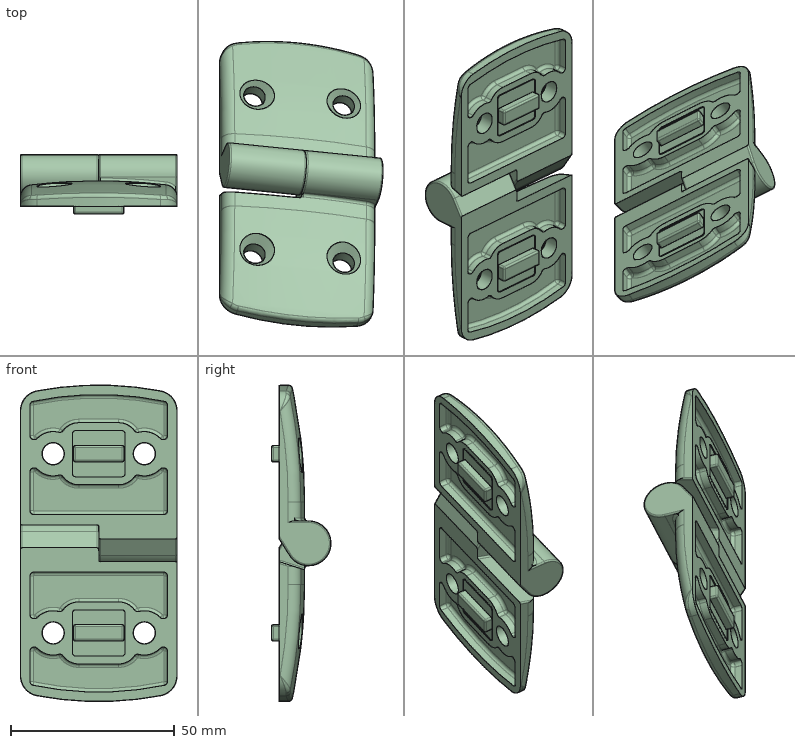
import cadquery as cq
import math

LENGTH = 97.0
WIDTH = 48.0
HALF_LENGTH = LENGTH / 2
HALF_WIDTH = WIDTH / 2
OVERSIZE = 97.0

KNUCKLE_RADIUS = 6.9
KNUCKLE_Y = 9.0
KNUCKLE_HEEL_Z = 1.4
KNUCKLE_EDGE_ROUND = 0.5
KNUCKLE_ROOT_ROUND = 0.9
ROOT_FADE_Y = 4.1

CREST_Y = 7.9
DOME_RADIUS_ACROSS = 174.6
DOME_RADIUS_ALONG = 164.9
DOME_SWEEP_ANGLE = 16.0
DOME_FLAT_END_Z = 12.6
SIDE_ROUND = 3.9
END_ARC_RADIUS = 100.9
CORNER_RADIUS = 6.3
END_ROUND = 1.4
PLATE_START_Z = 4.85
RELIEF_Z = 5.6
RELIEF_CREST_Z = 8.1
RELIEF_EDGE_ROUND = 0.5

FASTENER_Z = 27.45
HOLE_SPACING = 27.9
HOLE_DIAMETER = 6.7
SINK_DIAMETER = 11.6
SINK_TOP_Y = 7.1
SINK_DEPTH = (SINK_DIAMETER - HOLE_DIAMETER) / 2

POCKET_DEPTH = 3.4
POCKET_HALF_WIDTH = 21.05
POCKET_BOTTOM_Z = 8.8
END_RIM = 2.9
POCKET_CORNER_RADIUS = 1.2
POCKET_FLOOR_ROUND = 1.1
ISLAND_HALF_HEIGHT = 9.5
ISLAND_HALF_WIDTH = 12.1
ISLAND_CORNER_RADIUS = 6.0
HOLE_BOSS_RADIUS = 6.8
ISLAND_TIP_HALF_HEIGHT = 4.4

INSERT_WIDTH = 16.1
INSERT_HEIGHT = 14.2
INSERT_CORNER_RADIUS = 1.0
INSERT_SETBACK = 0.3
INSERT_SEAT_Y = POCKET_DEPTH
RIB_WIDTH = 15.4
RIB_HEIGHT = 5.0
RIB_PROJECTION = 2.3
RIB_EDGE_ROUND = 0.6

EDGE_MARGIN = 0.1


def back_plane(y=0.0):
    """Workplane parallel to the mounting face; extruding by a negative length goes toward +Y."""
    return cq.Workplane("XZ", origin=(0, y, 0))


def end_arc_z(x, radius, top):
    """Height of an arc crowned at (0, top)."""
    return top - radius + math.sqrt(radius**2 - x**2)


def crowned_prism(half_width, bottom, top, radius, depth):
    """Prism from the mounting face toward +Y whose upper end is an arc."""
    shoulder = end_arc_z(half_width, radius, top)
    return (
        back_plane()
        .moveTo(-half_width, bottom)
        .lineTo(-half_width, shoulder)
        .threePointArc((0, top), (half_width, shoulder))
        .lineTo(half_width, bottom)
        .close()
        .extrude(-depth)
    )


def dome_section(z):
    """Cross-section of the plate: domed top blended into straight sides by round shoulders."""
    dome_center_y = CREST_Y - DOME_RADIUS_ACROSS
    shoulder_x = HALF_WIDTH - SIDE_ROUND
    reach = DOME_RADIUS_ACROSS - SIDE_ROUND
    shoulder_y = dome_center_y + math.sqrt(reach**2 - shoulder_x**2)
    slope = math.asin(shoulder_x / reach)
    tangent_x = DOME_RADIUS_ACROSS * math.sin(slope)
    tangent_y = dome_center_y + DOME_RADIUS_ACROSS * math.cos(slope)
    middle = (slope + math.pi / 2) / 2
    middle_x = shoulder_x + SIDE_ROUND * math.sin(middle)
    middle_y = shoulder_y + SIDE_ROUND * math.cos(middle)
    base_y = -CREST_Y
    return (
        cq.Workplane("XY", origin=(0, 0, z))
        .moveTo(-HALF_WIDTH, base_y)
        .lineTo(-HALF_WIDTH, shoulder_y)
        .threePointArc((-middle_x, middle_y), (-tangent_x, tangent_y))
        .threePointArc((0, CREST_Y), (tangent_x, tangent_y))
        .threePointArc((middle_x, middle_y), (HALF_WIDTH, shoulder_y))
        .lineTo(HALF_WIDTH, base_y)
        .close()
    )


def make_straight():
    """Inner stretch of the plate, where its cross-section stays the same."""
    return dome_section(PLATE_START_Z).extrude(DOME_FLAT_END_Z - PLATE_START_Z)


def make_root():
    """Round root between the flat top of the knuckle and the domed face, fading out on the shoulders."""
    root_top_y = CREST_Y + KNUCKLE_ROOT_ROUND
    block = (
        cq.Workplane("XY", origin=(0, 0, PLATE_START_Z))
        .rect(2 * WIDTH, 2 * root_top_y)
        .extrude(KNUCKLE_RADIUS - PLATE_START_Z)
    )
    root_edge = cq.selectors.BoxSelector(
        (-WIDTH, 0, KNUCKLE_RADIUS - EDGE_MARGIN), (WIDTH, CREST_Y, KNUCKLE_RADIUS + EDGE_MARGIN)
    )
    root = block.union(make_straight()).edges(root_edge).fillet(KNUCKLE_ROOT_ROUND)
    keep = (
        cq.Workplane("XY", origin=(KNUCKLE_EDGE_ROUND, ROOT_FADE_Y, 0))
        .box(HALF_WIDTH - 2 * KNUCKLE_EDGE_ROUND, root_top_y, DOME_FLAT_END_Z, centered=False)
    )
    return root.intersect(keep)


def make_plate():
    """Domed plate with a crowned, rounded outer end."""
    axis_y = CREST_Y - DOME_RADIUS_ALONG
    curved = dome_section(DOME_FLAT_END_Z).revolve(DOME_SWEEP_ANGLE, (0, axis_y), (1, axis_y))
    outline = crowned_prism(HALF_WIDTH, PLATE_START_Z, HALF_LENGTH, END_ARC_RADIUS, 2 * CREST_Y)
    outline = outline.edges("|Y").edges(">Z").fillet(CORNER_RADIUS)
    plate = make_straight().union(curved).intersect(outline)
    end_edge = cq.selectors.BoxSelector(
        (-CORNER_RADIUS, END_ROUND, HALF_LENGTH - END_ROUND),
        (CORNER_RADIUS, CREST_Y, HALF_LENGTH + END_ROUND),
    )
    return plate.edges(end_edge).fillet(END_ROUND)


def make_relief():
    """Cutter on the -X half that clears the mating knuckle.

    Its section, drawn in X and downward from the sloping relief face, rounds the inner corner
    beside the leaf's own knuckle and the outer edge at the side of the plate.
    """
    slope = cq.Vector(0, CREST_Y, RELIEF_CREST_Z - RELIEF_Z)
    face = cq.Plane(origin=(0, 0, RELIEF_Z), xDir=(1, 0, 0), normal=slope)
    radius = RELIEF_EDGE_ROUND
    bulge = radius * (1 - math.sqrt(0.5))
    return (
        cq.Workplane(face)
        .moveTo(0, HALF_LENGTH)
        .lineTo(0, radius)
        .threePointArc((-bulge, bulge), (-radius, 0))
        .lineTo(radius - HALF_WIDTH, 0)
        .threePointArc((bulge - HALF_WIDTH, -bulge), (-HALF_WIDTH, -radius))
        .lineTo(-WIDTH, -radius)
        .lineTo(-WIDTH, HALF_LENGTH)
        .close()
        .extrude(3 * CREST_Y, both=True)
    )


def make_knuckle():
    """Round barrel on the +X half, tangent to a sloping flank below and to a flat top."""
    heel_distance = math.hypot(KNUCKLE_Y, KNUCKLE_HEEL_Z)
    flank_angle = math.asin(KNUCKLE_RADIUS / heel_distance) + math.atan2(KNUCKLE_HEEL_Z, KNUCKLE_Y)
    tangent_y = KNUCKLE_Y - KNUCKLE_RADIUS * math.sin(flank_angle)
    tangent_z = -KNUCKLE_RADIUS * math.cos(flank_angle)
    return (
        cq.Workplane("YZ")
        .moveTo(0, KNUCKLE_HEEL_Z)
        .lineTo(tangent_y, tangent_z)
        .threePointArc((KNUCKLE_Y + KNUCKLE_RADIUS, 0), (KNUCKLE_Y, KNUCKLE_RADIUS))
        .lineTo(0, KNUCKLE_RADIUS)
        .close()
        .extrude(HALF_WIDTH)
        .faces("<X or >X")
        .edges("not |Z")
        .fillet(KNUCKLE_EDGE_ROUND)
    )


def make_island():
    """Raised pad between the pockets: a rounded block, a boss about each screw hole, and side tips."""
    pad = (
        back_plane()
        .center(0, FASTENER_Z)
        .rect(2 * ISLAND_HALF_WIDTH, 2 * ISLAND_HALF_HEIGHT)
        .extrude(-POCKET_DEPTH)
        .edges("|Y")
        .fillet(ISLAND_CORNER_RADIUS)
    )
    bosses = (
        back_plane()
        .center(0, FASTENER_Z)
        .rarray(HOLE_SPACING, 1, 2, 1)
        .circle(HOLE_BOSS_RADIUS)
        .extrude(-POCKET_DEPTH)
    )
    tips = (
        back_plane()
        .center(0, FASTENER_Z)
        .rect(WIDTH, 2 * ISLAND_TIP_HALF_HEIGHT)
        .extrude(-POCKET_DEPTH)
    )
    return pad.union(bosses).union(tips)


def make_pockets():
    """The two pockets above and below the island, with round corners and round floor edges."""
    field = crowned_prism(
        POCKET_HALF_WIDTH, POCKET_BOTTOM_Z, HALF_LENGTH - END_RIM, END_ARC_RADIUS - END_RIM, POCKET_DEPTH
    )
    pockets = field.cut(make_island())
    return pockets.edges("|Y").fillet(POCKET_CORNER_RADIUS).faces(">Y").edges().fillet(POCKET_FLOOR_ROUND)


def make_screw_holes():
    """Through holes, countersunk from the domed side."""
    holes = (
        back_plane()
        .center(0, FASTENER_Z)
        .rarray(HOLE_SPACING, 1, 2, 1)
        .circle(HOLE_DIAMETER / 2)
        .extrude(-OVERSIZE)
    )
    outward = cq.Vector(0, 1, 0)
    sink_cone = cq.Solid.makeCone(
        HOLE_DIAMETER / 2,
        SINK_DIAMETER / 2,
        SINK_DEPTH,
        pnt=cq.Vector(0, SINK_TOP_Y - SINK_DEPTH, FASTENER_Z),
        dir=outward,
    )
    sink_mouth = cq.Solid.makeCylinder(
        SINK_DIAMETER / 2, CREST_Y, pnt=cq.Vector(0, SINK_TOP_Y, FASTENER_Z), dir=outward
    )
    for side in (-1, 1):
        offset = cq.Vector(side * HOLE_SPACING / 2, 0, 0)
        holes = holes.union(sink_cone.translate(offset))
        holes = holes.union(sink_mouth.translate(offset))
    return holes


def insert_block(start_y, end_y):
    """Rounded rectangular block of the insert's outline between two depths."""
    return (
        back_plane(start_y)
        .center(0, FASTENER_Z)
        .rect(INSERT_WIDTH, INSERT_HEIGHT)
        .extrude(start_y - end_y)
        .edges("|Y")
        .fillet(INSERT_CORNER_RADIUS)
    )


def make_insert():
    """Insert seated in the island, with a rib that stands out of the mounting face."""
    body = insert_block(INSERT_SETBACK, INSERT_SEAT_Y)
    rib = (
        back_plane(INSERT_SETBACK)
        .center(0, FASTENER_Z)
        .rect(RIB_WIDTH, RIB_HEIGHT)
        .extrude(RIB_PROJECTION + INSERT_SETBACK)
        .edges("|Y or <Y")
        .fillet(RIB_EDGE_ROUND)
    )
    return body.union(rib)


def make_leaf():
    """Upper leaf: plate and knuckle, less the pockets, screw holes and insert recess."""
    plate = make_plate().union(make_root()).cut(make_relief())
    leaf = plate.union(make_knuckle())
    return leaf.cut(make_pockets()).cut(make_screw_holes()).cut(insert_block(0, INSERT_SEAT_Y))


def turned_over(body):
    """Half turn about the Y axis, which carries one side of the hinge to the other."""
    return body.rotate((0, 0, 0), (0, 1, 0), 180)


leaf = make_leaf()
insert = make_insert()
bodies = []
for body in (leaf, insert):
    bodies += [body.val(), turned_over(body).val()]

result = cq.Compound.makeCompound(bodies)